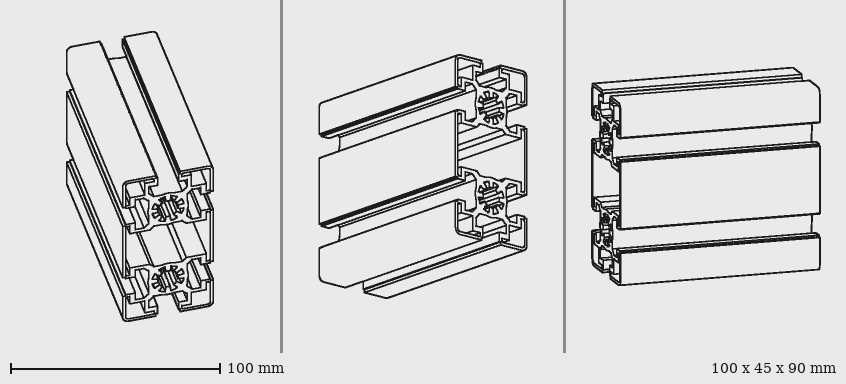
import cadquery as cq
import math

LENGTH = 100.0
CELL = 45.0
HALF_CELL = CELL / 2
CELL_CENTRES = (-HALF_CELL, HALF_CELL)

WALL = 1.5
CORNER_RADIUS = 3.0
INNER_CORNER_RADIUS = CORNER_RADIUS - WALL
SKIN_INSIDE = HALF_CELL - WALL

MOUTH_HALF_WIDTH = 6.0
NECK_HALF_WIDTH = 5.2
SLOT_HALF_WIDTH = 9.5
NECK_INNER_END = 16.2
SLOT_FLOOR = SLOT_HALF_WIDTH
SLOT_CHAMFER = 2.45

WEB = 2.0
LIP_WALL = 1.6
LIP_THICKNESS = 2.8
POCKET_END = NECK_HALF_WIDTH + LIP_WALL
POCKET_RADIUS = 1.0
WEB_OUTER = SLOT_FLOOR + WEB
LIP_OUTER = NECK_INNER_END + LIP_THICKNESS

CORE_RADIUS = 10.0
BORE_RADIUS = 8.0
TOOTH_COUNT = 8
TOOTH_TIP_RADIUS = 5.0
TOOTH_TIP_HALF_WIDTH = 1.05
TOOTH_ROOT_HALF_WIDTH = 1.5


def section():
    """YZ sketch plane at the -X end of the part."""
    return cq.Workplane("YZ").workplane(offset=-LENGTH / 2)


def prism(points):
    """Closed (y, z) outline extruded over the full length."""
    return section().polyline(points).close().extrude(LENGTH)


def cylinder(radius):
    """Full-length cylinder on the X axis."""
    return section().circle(radius).extrude(LENGTH)


def round_edges(body, corners, radius):
    """Round the lengthwise edges that pass through the given (y, z) corners."""
    for y, z in corners:
        edge = cq.selectors.NearestToPointSelector((0, y, z))
        body = body.edges("|X").edges(edge).fillet(radius)
    return body


def about_axis(body, angle):
    return body.rotate((0, 0, 0), (1, 0, 0), angle)


def lifted(body, z):
    return body.translate((0, 0, z))


def blank():
    bar = section().rect(CELL, CELL * len(CELL_CENTRES)).extrude(LENGTH)
    return bar.edges("|X").fillet(CORNER_RADIUS)


def slot():
    """T-slot void opening toward +Z of a cell on the X axis."""
    right_side = [
        (MOUTH_HALF_WIDTH, HALF_CELL),
        (MOUTH_HALF_WIDTH, SKIN_INSIDE),
        (NECK_HALF_WIDTH, SKIN_INSIDE),
        (NECK_HALF_WIDTH, NECK_INNER_END),
        (SLOT_HALF_WIDTH, NECK_INNER_END),
        (SLOT_HALF_WIDTH, SLOT_FLOOR + SLOT_CHAMFER),
        (SLOT_HALF_WIDTH - SLOT_CHAMFER, SLOT_FLOOR),
    ]
    left_side = [(-y, z) for y, z in reversed(right_side)]
    return prism(right_side + left_side).cut(cylinder(CORE_RADIUS))


def corner_hollow():
    """Closed void in the +Y +Z corner of a cell on the X axis."""
    skin_corner = (SKIN_INSIDE, SKIN_INSIDE)
    side_pocket_corner = (SKIN_INSIDE, POCKET_END)
    top_pocket_corner = (POCKET_END, SKIN_INSIDE)
    hollow = prism([
        skin_corner,
        side_pocket_corner,
        (LIP_OUTER, POCKET_END),
        (LIP_OUTER, WEB_OUTER),
        (WEB_OUTER, WEB_OUTER),
        (WEB_OUTER, LIP_OUTER),
        (POCKET_END, LIP_OUTER),
        top_pocket_corner,
    ])
    hollow = round_edges(hollow, [skin_corner], INNER_CORNER_RADIUS)
    return round_edges(hollow, [side_pocket_corner, top_pocket_corner], POCKET_RADIUS)


def middle_chamber():
    """Large void between the two cells, symmetric about Z = 0."""
    pocket_z = HALF_CELL - POCKET_END
    web_z = HALF_CELL - WEB_OUTER
    core_z = HALF_CELL - SLOT_FLOOR
    core_y = SLOT_HALF_WIDTH - SLOT_CHAMFER
    upper_right = [
        (SKIN_INSIDE, pocket_z),
        (LIP_OUTER, pocket_z),
        (LIP_OUTER, web_z),
        (core_y + WEB, web_z),
        (core_y, core_z),
    ]
    upper = upper_right + [(-y, z) for y, z in reversed(upper_right)]
    lower = [(y, -z) for y, z in reversed(upper)]
    chamber = prism(upper + lower)
    corners = [(y, z) for y in (-SKIN_INSIDE, SKIN_INSIDE) for z in (-pocket_z, pocket_z)]
    chamber = round_edges(chamber, corners, POCKET_RADIUS)
    for z in CELL_CENTRES:
        chamber = chamber.cut(lifted(cylinder(CORE_RADIUS), z))
    return chamber


def splined_bore():
    """Bore void with tapered teeth left standing around it."""
    root_z = math.sqrt(BORE_RADIUS**2 - TOOTH_ROOT_HALF_WIDTH**2)
    tip_z = math.sqrt(TOOTH_TIP_RADIUS**2 - TOOTH_TIP_HALF_WIDTH**2)
    tooth = prism([
        (-TOOTH_ROOT_HALF_WIDTH, BORE_RADIUS),
        (-TOOTH_ROOT_HALF_WIDTH, root_z),
        (-TOOTH_TIP_HALF_WIDTH, tip_z),
        (TOOTH_TIP_HALF_WIDTH, tip_z),
        (TOOTH_ROOT_HALF_WIDTH, root_z),
        (TOOTH_ROOT_HALF_WIDTH, BORE_RADIUS),
    ])
    bore = cylinder(BORE_RADIUS)
    for index in range(TOOTH_COUNT):
        bore = bore.cut(about_axis(tooth, index * 360 / TOOTH_COUNT))
    return bore.union(cylinder(TOOTH_TIP_RADIUS))


def cell_voids():
    """Voids of the upper cell, on the X axis; its -Z face joins the other cell."""
    voids = [splined_bore(), corner_hollow(), about_axis(corner_hollow(), 90)]
    for angle in (-90, 0, 90):
        voids.append(about_axis(slot(), angle))
    return voids


result = blank().cut(middle_chamber())
for void in cell_voids():
    upper_void = lifted(void, HALF_CELL)
    result = result.cut(upper_void).cut(upper_void.mirror("XY"))